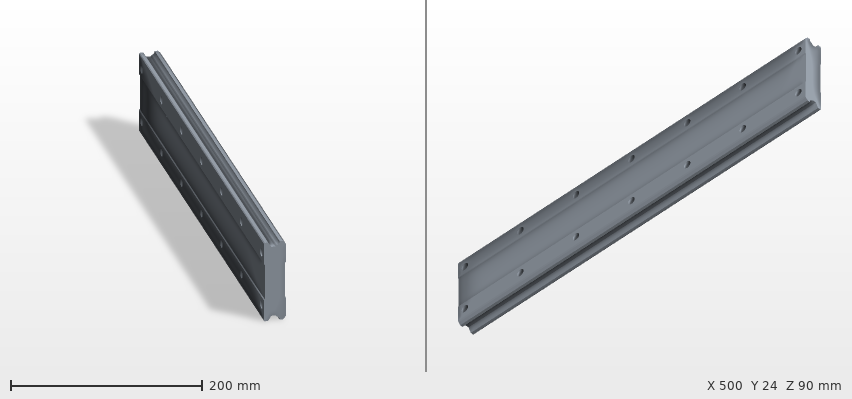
import cadquery as cq

length = 500.0
depth = 24.0
height = 90.0

channel_floor_height = 39.5
channel_depth = 1.0

groove_depth = 5.5
front_slope_run = 3.5
floor_width = 4.5
step_size = 1.5
raceway_width = 3.0
raceway_radius = 4.0

front_lip = 3.5
front_chamfer = 1.0
back_lip = 3.5
bevel_drop = 2.5
corner_run = 1.0
corner_drop = 1.5

hole_diameter = 9.0
holes_per_row = 7
hole_pitch = 80.0
row_spacing = 60.0

front = -depth / 2
back = depth / 2
top = height / 2


def half_section():
    """Closed outline in Y-Z of the half of the cross-section above mid-height."""
    channel_top = channel_floor_height / 2
    floor = top - groove_depth
    step_top = floor + step_size
    lip_edge = front + front_chamfer + front_lip
    floor_front = lip_edge + front_slope_run
    floor_back = floor_front + floor_width
    raceway_start = floor_back + step_size
    raceway_end = raceway_start + raceway_width
    bevel_start = raceway_end + back_lip
    return (
        cq.Workplane("YZ")
        .moveTo(front + channel_depth, 0)
        .lineTo(front + channel_depth, channel_top)
        .lineTo(front, channel_top + channel_depth)
        .lineTo(front, top - front_chamfer)
        .lineTo(front + front_chamfer, top)
        .lineTo(lip_edge, top)
        .lineTo(floor_front, floor)
        .lineTo(floor_back, floor)
        .lineTo(raceway_start, step_top)
        .radiusArc((raceway_end, top), -raceway_radius)
        .lineTo(bevel_start, top)
        .lineTo(back - corner_run, top - bevel_drop)
        .lineTo(back, top - bevel_drop - corner_drop)
        .lineTo(back, channel_top + channel_depth)
        .lineTo(back - channel_depth, channel_top)
        .lineTo(back - channel_depth, 0)
        .close()
    )


def make_bar():
    """Extrude the upper half along X and mirror it about mid-height."""
    upper_half = half_section().extrude(length / 2, both=True)
    return upper_half.mirror("XY", union=True).clean()


def make_holes():
    """Cylinders along Y that pierce the whole depth of the bar."""
    return (
        cq.Workplane("XZ")
        .rarray(hole_pitch, row_spacing, holes_per_row, 2)
        .circle(hole_diameter / 2)
        .extrude(depth, both=True)
    )


result = make_bar().cut(make_holes())